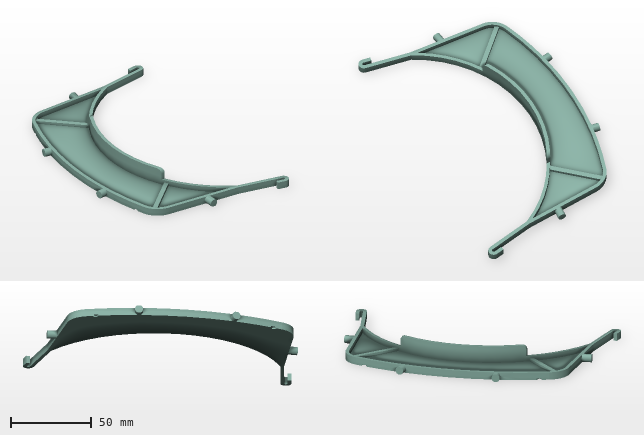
import cadquery as cq
import math


body_height = 4.7
floor_thickness = 1.3
side_wall = 2.2
band_thickness = 2.0
front_radius = 183.8
front_corner_radius = 14.3

band_radius = 82.0
band_front_y = 30.2
band_center_y = band_front_y + band_radius

side_low = (-71.1, 24.3)
side_high = (-74.3, 72.8)
side_slope = (side_high[0] - side_low[0]) / (side_high[1] - side_low[1])

upstand_top = 12.0
upstand_half_width = 40.1
upstand_thickness = 2.2
upstand_corner_radius = 3.0

arm_width = 2.4
arm_lean = 10.8
arm_root = (-73.0, 71.1)
hook_center = (-81.0, 101.7)
hook_radius = 2.2
hook_leg = 5.2

rib_width = 2.9
rib_top = 3.2
rib_back = (-42.7, 40.3)
rib_front = (-66.1, 15.3)

peg_radius = 2.5
peg_embed = 1.3
front_peg_tip = (-30.7, -1.9)
front_peg_length = 4.5
front_peg_angle = -90 - math.degrees(math.asin(-front_peg_tip[0] / front_radius))
side_peg_tip = (-78.5, 51.6)
side_peg_length = 5.2
side_peg_angle = 175.0

notch_x = -55.6
notch_width = 2.5
notch_height = 0.8


def disc(radius, center_y, bottom, top):
    """Vertical cylinder centred on the mirror plane."""
    return cq.Workplane("XY", origin=(0, center_y, bottom)).circle(radius).extrude(top - bottom)


def box_along(start, length, angle, width, bottom, top):
    """Bar of rectangular section leaving a point at an angle in the XY plane."""
    bar = cq.Workplane("XY").box(length, width, top - bottom, centered=(False, True, False))
    return bar.rotate((0, 0, 0), (0, 0, 1), angle).translate((start[0], start[1], bottom))


def both_sides(shape):
    return shape.union(shape.mirror("YZ"))


def tray(inset, back_radius, bottom, top):
    """Body shape between the sides, the front arc and the band, shrunk by the inset."""
    def side_x(y):
        return side_low[0] + side_slope * (y - side_low[1]) + inset

    back_y = side_high[1]
    wedge = (
        cq.Workplane("XY", origin=(0, 0, bottom))
        .polyline([(side_x(0), 0), (-side_x(0), 0), (-side_x(back_y), back_y), (side_x(back_y), back_y)])
        .close()
        .extrude(top - bottom)
    )
    blank = wedge.intersect(disc(front_radius - inset, front_radius, bottom, top))
    blank = blank.edges("|Z").edges("not >Y").fillet(front_corner_radius - inset)
    return blank.cut(disc(back_radius, band_center_y, bottom, top))


def upstand():
    """Curved wall rising from the band, with rounded upper corners."""
    ring = disc(band_radius + upstand_thickness, band_center_y, 0, upstand_top)
    ring = ring.cut(disc(band_radius, band_center_y, 0, upstand_top))
    window = (
        cq.Workplane("XY")
        .box(2 * upstand_half_width, band_center_y, upstand_top, centered=(True, False, False))
        .edges("|Y and >Z")
        .fillet(upstand_corner_radius)
    )
    return ring.intersect(window)


def arm():
    """Leaning arm ending in a hook that turns back on the outer side."""
    lean = math.radians(arm_lean)
    across = (math.cos(lean), math.sin(lean))
    along = (-math.sin(lean), math.cos(lean))

    def point(sideways, forward):
        return tuple(hook_center[i] + sideways * across[i] + forward * along[i] for i in (0, 1))

    root_distance = sum((hook_center[i] - arm_root[i]) * along[i] for i in (0, 1))
    outer = hook_radius + arm_width / 2
    inner = hook_radius - arm_width / 2
    return (
        cq.Workplane("XY")
        .moveTo(*point(outer, -root_distance))
        .lineTo(*point(outer, 0))
        .threePointArc(point(0, outer), point(-outer, 0))
        .lineTo(*point(-outer, -hook_leg))
        .lineTo(*point(-inner, -hook_leg))
        .lineTo(*point(-inner, 0))
        .threePointArc(point(0, inner), point(inner, 0))
        .lineTo(*point(inner, -root_distance))
        .close()
        .extrude(body_height)
    )


def peg(tip, length, angle):
    """Round peg with flats level with the body's top and bottom."""
    inward = angle + 180
    total = length + peg_embed
    heading = math.radians(inward)
    direction = cq.Vector(math.cos(heading), math.sin(heading), 0)
    rod = cq.Workplane(cq.Solid.makeCylinder(
        peg_radius, total, cq.Vector(tip[0], tip[1], body_height / 2), direction
    ))
    return rod.intersect(box_along(tip, total, inward, 2 * peg_radius, 0, body_height))


def rib():
    dx = rib_back[0] - rib_front[0]
    dy = rib_back[1] - rib_front[1]
    angle = math.degrees(math.atan2(dy, dx))
    return box_along(rib_front, math.hypot(dx, dy), angle, rib_width, 0, rib_top)


def notch():
    """Slot under the front wall, square to the front arc."""
    tilt = math.asin(notch_x / front_radius)
    start = (notch_x, front_radius * (1 - math.cos(tilt)))
    angle = 90 - math.degrees(tilt)
    slot = box_along(start, 2 * side_wall, angle, notch_width, 0, notch_height)
    heading = math.radians(angle)
    return slot.translate((-side_wall * math.cos(heading), -side_wall * math.sin(heading), 0))


body = tray(0, band_radius, 0, body_height)
pocket = tray(side_wall, band_radius + band_thickness, floor_thickness, body_height)

result = (
    body.cut(pocket)
    .union(both_sides(rib()))
    .union(upstand())
    .union(both_sides(arm()))
    .union(both_sides(peg(front_peg_tip, front_peg_length, front_peg_angle)))
    .union(both_sides(peg(side_peg_tip, side_peg_length, side_peg_angle)))
    .cut(both_sides(notch()))
)